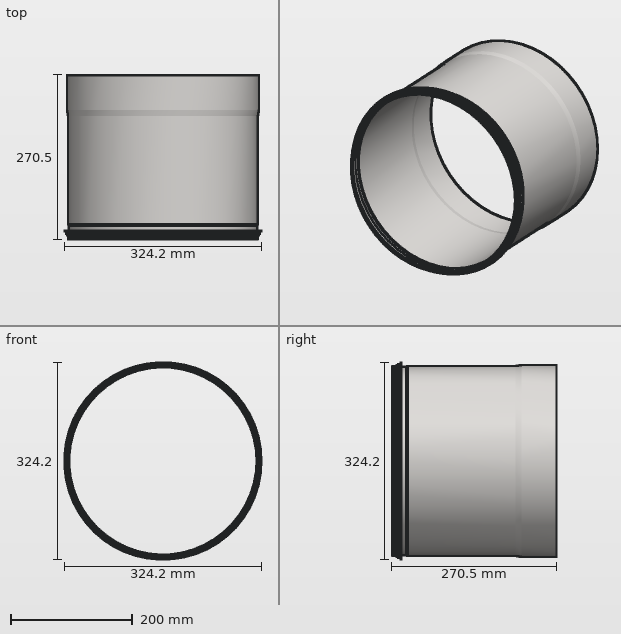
import cadquery as cq

LENGTH = 270.5
WALL = 1.2

PIPE_RADIUS = 313.0 / 2
SOCKET_RADIUS = 316.5 / 2
GROOVE_RADIUS = 310.3 / 2
MOUTH_RADIUS = 311.3 / 2

MOUTH_TAPER_END = 1.5
GROOVE_START = 5.8
GROOVE_END = 22.7
GROOVE_RAMP = 3.2
SOCKET_LENGTH = 57.5
SOCKET_TAPER = 10.0
SOCKET_START = LENGTH - SOCKET_LENGTH
SOCKET_TAPER_START = SOCKET_START - SOCKET_TAPER

SEAL_BASE_RADIUS = 313.2 / 2
SEAL_RIDGE_RADIUS = 315.5 / 2
SMALL_LIP_RADIUS = 319.5 / 2
LARGE_LIP_RADIUS = 324.2 / 2

RIDGE_START = 7.5
SMALL_LIP_START = 9.5
LARGE_LIP_START = 13.5
LIP_THICKNESS = 1.3
SEAL_END = LARGE_LIP_START + LIP_THICKNESS


def revolve_about_y(profile):
    """Turn a closed (radius, y) profile into a ring about the Y axis."""
    return cq.Workplane("XY").polyline(profile).close().revolve(360, (0, 0, 0), (0, 1, 0))


def make_pipe():
    """Thin pipe with a widened socket at one end and a seal groove at the other."""
    outside = [
        (MOUTH_RADIUS, 0),
        (PIPE_RADIUS, MOUTH_TAPER_END),
        (PIPE_RADIUS, GROOVE_START),
        (GROOVE_RADIUS, GROOVE_START),
        (GROOVE_RADIUS, GROOVE_END),
        (PIPE_RADIUS, GROOVE_END + GROOVE_RAMP),
        (PIPE_RADIUS, SOCKET_TAPER_START),
        (SOCKET_RADIUS, SOCKET_START),
        (SOCKET_RADIUS, LENGTH),
    ]
    inside = [(radius - WALL, y) for radius, y in outside]
    shoulder_y = GROOVE_START - WALL
    inside[2] = (PIPE_RADIUS - WALL, shoulder_y)
    inside[3] = (GROOVE_RADIUS - WALL, shoulder_y)
    return revolve_about_y(outside + inside[::-1])


def make_seal():
    """Rubber ring seated against the groove shoulder, with a ridge and two lips."""
    small_lip_end = SMALL_LIP_START + LIP_THICKNESS
    return revolve_about_y([
        (GROOVE_RADIUS, GROOVE_START),
        (SEAL_BASE_RADIUS, GROOVE_START),
        (SEAL_RIDGE_RADIUS, RIDGE_START),
        (SEAL_RIDGE_RADIUS, SMALL_LIP_START),
        (SMALL_LIP_RADIUS, SMALL_LIP_START),
        (SMALL_LIP_RADIUS, small_lip_end),
        (SEAL_BASE_RADIUS, small_lip_end),
        (SEAL_BASE_RADIUS, LARGE_LIP_START),
        (LARGE_LIP_RADIUS, LARGE_LIP_START),
        (LARGE_LIP_RADIUS, SEAL_END),
        (GROOVE_RADIUS, SEAL_END),
    ])


pipe = make_pipe()
seal = make_seal()
result = cq.Compound.makeCompound([pipe.val(), seal.val()])